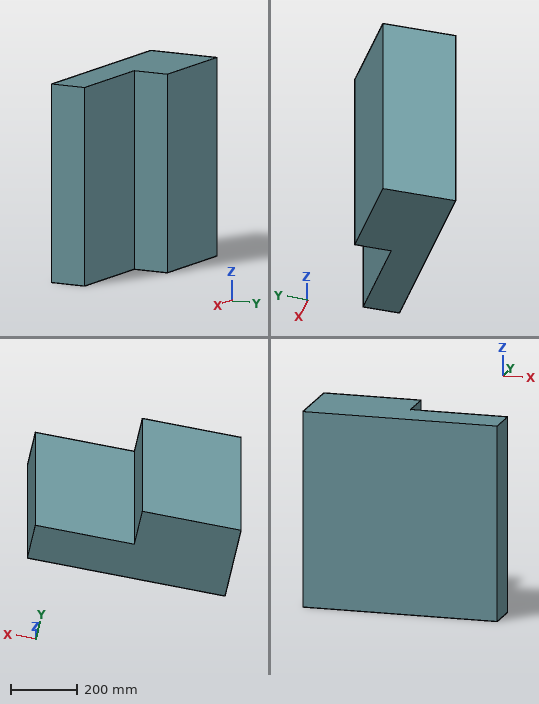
import cadquery as cq

width = 609.5
depth = 228.5
height = 609.5

thick_width = width / 2
thin_depth = depth / 2

result = (
    cq.Workplane("XY")
    .moveTo(0, 0)
    .lineTo(width, 0)
    .lineTo(width, thin_depth)
    .lineTo(thick_width, thin_depth)
    .lineTo(thick_width, depth)
    .lineTo(0, depth)
    .close()
    .extrude(height)
)